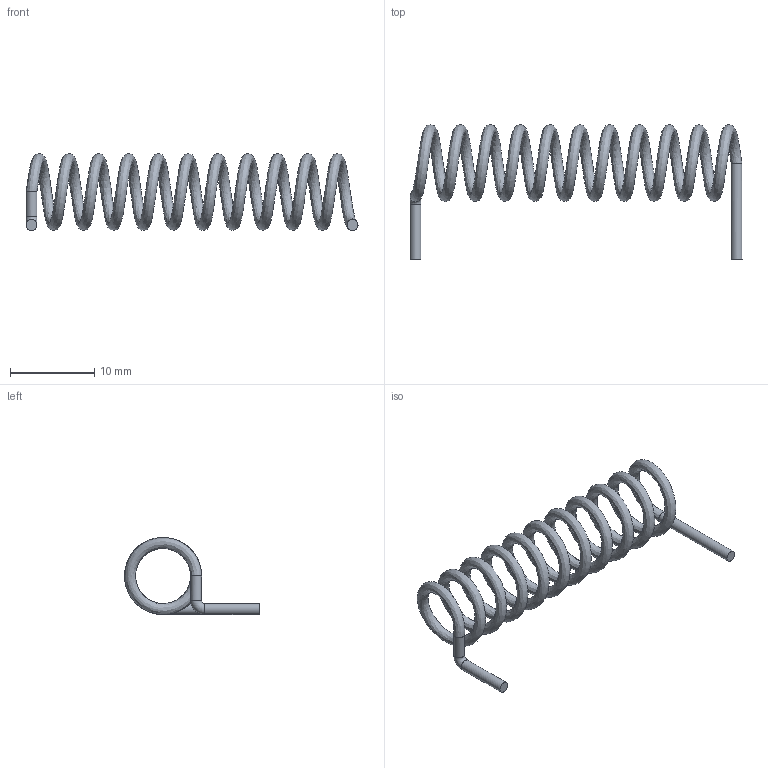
import cadquery as cq

wire_diameter = 1.3
coil_outer_diameter = 9.14
overall_length = 39.39
overall_depth = 16.0
turns = 10.75
bend_radius = 1.0
joint_tolerance = 0.001

wire_radius = wire_diameter / 2
coil_radius = (coil_outer_diameter - wire_diameter) / 2
coil_length = overall_length - wire_diameter
pitch = coil_length / turns
leg_end_y = coil_outer_diameter / 2 - overall_depth

coil_start = cq.Vector(0, -coil_radius, 0)
coil_end = cq.Vector(coil_length, 0, -coil_radius)


def wire_section(center, normal):
    """Workplane carrying the round wire section, square to the given direction."""
    return cq.Workplane(cq.Plane(origin=center, normal=normal)).circle(wire_radius)


def make_coil():
    """Left-handed helical body, wound about Z and then laid along X with its start at -Y."""
    helix = cq.Wire.makeHelix(pitch, coil_length, coil_radius, lefthand=True)
    section = cq.Workplane("XZ", origin=(coil_radius, 0, 0)).circle(wire_radius)
    upright_coil = section.sweep(cq.Workplane(helix), isFrenet=True)
    laid_coil = upright_coil.rotate((0, 0, 0), (0, 1, 0), 90)
    return laid_coil.rotate((0, 0, 0), (1, 0, 0), -90)


def make_end_leg():
    """Straight leg leaving the bottom of the last turn toward -Y."""
    leg_length = coil_end.y - leg_end_y
    return wire_section(coil_end, (0, -1, 0)).extrude(leg_length)


def make_start_leg():
    """Leg dropping from the first turn, bent to run toward -Y at the bottom of the coil."""
    bend_top_z = bend_radius - coil_radius
    bend_end_y = -coil_radius - bend_radius
    path = (
        cq.Workplane("YZ")
        .moveTo(coil_start.y, coil_start.z)
        .lineTo(coil_start.y, bend_top_z)
        .tangentArcPoint((bend_end_y, -coil_radius), relative=False)
        .lineTo(leg_end_y, -coil_radius)
        .wire()
    )
    return wire_section(coil_start, (0, 0, -1)).sweep(path)


coil_with_start_leg = make_coil().union(make_start_leg(), tol=joint_tolerance)
result = coil_with_start_leg.union(make_end_leg(), tol=joint_tolerance)